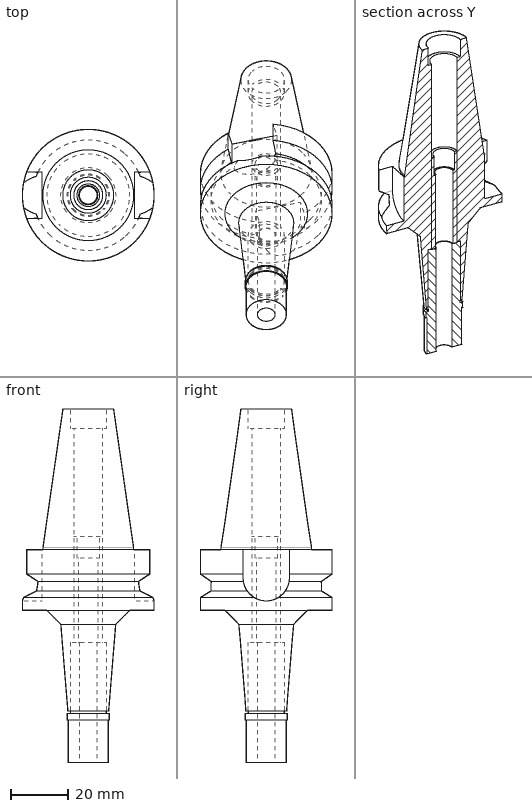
import cadquery as cq

TOTAL_HEIGHT = 123.4
COLLAR_BOTTOM = 14.8
COLLAR_TOP = 17.2
NOSE_BOTTOM = 17.9
NOSE_TOP = 48.2
FLANGE_BOTTOM = 53.1
LOWER_RIM_TOP = 57.6
GROOVE_BOTTOM = 59.8
GROOVE_TOP = 63.2
UPPER_RIM_BOTTOM = 65.8
FLANGE_TOP = 74.3
TAPER_BOTTOM = 75.0

FLANGE_DIAMETER = 46.0
GROOVE_DIAMETER = 38.6
TAPER_BASE_DIAMETER = 31.7
FLANGE_RADIUS = FLANGE_DIAMETER / 2
GROOVE_RADIUS = GROOVE_DIAMETER / 2
TAPER_BASE_RADIUS = TAPER_BASE_DIAMETER / 2
TAPER_TOP_RADIUS = 8.9
NOSE_TOP_RADIUS = 9.6
NOSE_BOTTOM_RADIUS = 7.2
SHOULDER_RADIUS = NOSE_TOP_RADIUS + FLANGE_BOTTOM - NOSE_TOP

SLOT_WIDTH = 16.2
SLOT_FLOOR_X = 16.2
SLOT_BOTTOM = 56.4
SLOT_RADIUS = SLOT_WIDTH / 2
SLOT_ARC_HEIGHT = SLOT_BOTTOM + SLOT_RADIUS

ENTRY_RADIUS = 6.3
ENTRY_DEPTH = 6.9
BORE_RADIUS = 5.0
TOOL_HOLE_RADIUS = 3.1

COLLET_RADIUS = 7.0
COLLAR_RADIUS = 7.4
SHANK_RADIUS = 6.3
SHANK_LENGTH = 24.7
SHANK_TOP = COLLAR_TOP + SHANK_LENGTH

SLEEVE_LENGTH = 37.0
SLEEVE_HOLE_RADIUS = 3.3
SOCKET_RADIUS = 4.0
SOCKET_DEPTH = 7.4
SLEEVE_TOP = SHANK_TOP + SLEEVE_LENGTH


def revolve_profile(points):
    """Turn a closed (radius, height) outline around the Z axis."""
    return cq.Workplane("XZ").polyline(points).close().revolve(360, (0, 0), (0, 1))


def cylinder(radius, bottom, top):
    return cq.Workplane("XY").workplane(offset=bottom).circle(radius).extrude(top - bottom)


def make_drive_slot(side):
    """Round-bottomed slot cutter, open at the top; side is -1 or +1 along X."""
    length = FLANGE_RADIUS
    height = FLANGE_TOP - SLOT_ARC_HEIGHT
    center_x = side * (SLOT_FLOOR_X + length / 2)
    round_end = (
        cq.Workplane("YZ", origin=(center_x, 0, 0))
        .center(0, SLOT_ARC_HEIGHT)
        .circle(SLOT_RADIUS)
        .extrude(length / 2, both=True)
    )
    straight_part = (
        cq.Workplane("XY")
        .box(length, SLOT_WIDTH, height, centered=(True, True, False))
        .translate((center_x, 0, SLOT_ARC_HEIGHT))
    )
    return round_end.union(straight_part)


def make_holder():
    holder = revolve_profile([
        (0, NOSE_BOTTOM),
        (NOSE_BOTTOM_RADIUS, NOSE_BOTTOM),
        (NOSE_TOP_RADIUS, NOSE_TOP),
        (SHOULDER_RADIUS, FLANGE_BOTTOM),
        (FLANGE_RADIUS, FLANGE_BOTTOM),
        (FLANGE_RADIUS, LOWER_RIM_TOP),
        (GROOVE_RADIUS, GROOVE_BOTTOM),
        (GROOVE_RADIUS, GROOVE_TOP),
        (FLANGE_RADIUS, UPPER_RIM_BOTTOM),
        (FLANGE_RADIUS, FLANGE_TOP),
        (TAPER_BASE_RADIUS, FLANGE_TOP),
        (TAPER_BASE_RADIUS, TAPER_BOTTOM),
        (TAPER_TOP_RADIUS, TOTAL_HEIGHT),
        (0, TOTAL_HEIGHT),
    ])
    for side in (-1, 1):
        holder = holder.cut(make_drive_slot(side))
    holder = holder.cut(cylinder(ENTRY_RADIUS, TOTAL_HEIGHT - ENTRY_DEPTH, TOTAL_HEIGHT))
    holder = holder.cut(cylinder(BORE_RADIUS, NOSE_BOTTOM, TOTAL_HEIGHT))
    return holder.cut(cylinder(SHANK_RADIUS, NOSE_BOTTOM, SHANK_TOP))


def make_collet():
    return revolve_profile([
        (TOOL_HOLE_RADIUS, 0),
        (COLLET_RADIUS, 0),
        (COLLET_RADIUS, COLLAR_BOTTOM),
        (COLLAR_RADIUS, COLLAR_BOTTOM),
        (COLLAR_RADIUS, COLLAR_TOP),
        (SHANK_RADIUS, COLLAR_TOP),
        (SHANK_RADIUS, SHANK_TOP),
        (TOOL_HOLE_RADIUS, SHANK_TOP),
    ])


def make_draw_sleeve():
    sleeve = cylinder(BORE_RADIUS, SHANK_TOP, SLEEVE_TOP)
    sleeve = sleeve.cut(cylinder(SLEEVE_HOLE_RADIUS, SHANK_TOP, SLEEVE_TOP))
    return sleeve.cut(cylinder(SOCKET_RADIUS, SLEEVE_TOP - SOCKET_DEPTH, SLEEVE_TOP))


holder = make_holder()
collet = make_collet()
draw_sleeve = make_draw_sleeve()

bodies = [holder, collet, draw_sleeve]
result = cq.Compound.makeCompound([body.solids().val() for body in bodies])